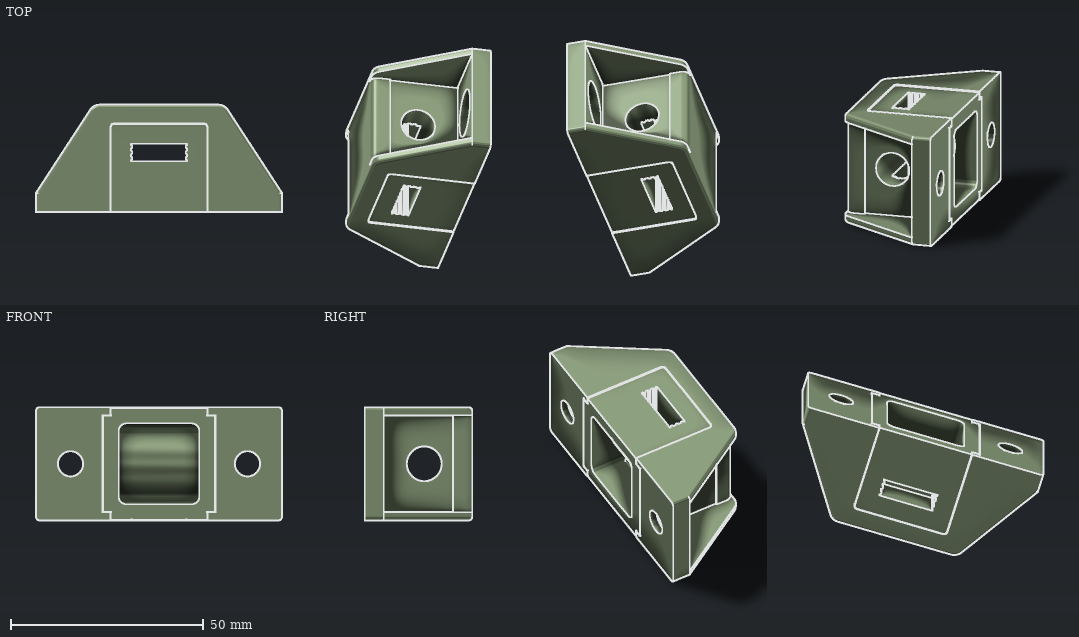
import cadquery as cq
import math

length = 64.0
depth = 28.0
height = 29.5
plate_inner_height = 25.3
mount_thickness = 5.0
wall_thickness = 5.0
rear_corner_x = 17.0
rear_corner_radius = 3.0
wall_corner_radius = 2.0
outer_edge_radius = 1.0
bore_width = 29.5
window_width = 25.3
window_corner_radius = 1.0
screw_hole_diameter = 6.5
screw_hole_spacing = 46.0
screw_head_diameter = 12.5

clearance = 0.15
rear_clearance = 0.05
outer_clearance = 0.25
insert_width = bore_width - 2 * outer_clearance
insert_height = height - 2 * outer_clearance
core_width = window_width - 2 * clearance
flange_height = plate_inner_height - 2 * clearance
insert_depth = depth - wall_thickness - rear_clearance
core_corner_radius = window_corner_radius - clearance

hole_center_y = 15.5
cross_hole_diameter = 9.0
slot_length = 14.5
slot_width = 4.5
tooth_count = 3
tooth_height = 0.35
tooth_tip = 0.4
tooth_flank = 0.3

pocket_size = 21.0
pocket_depth = 10.0
pocket_corner_radius = 2.0
pocket_floor_radius = 1.0
barrel_radius = 9.5
barrel_root_radius = 1.0


def centered_box(width, y_start, y_end, box_height):
    """Box centred on X and Z that runs from y_start to y_end."""
    middle_y = (y_start + y_end) / 2
    return cq.Workplane("XY").box(width, y_end - y_start, box_height).translate((0, middle_y, 0))


def make_screw_hole():
    """Solid to remove for one screw: a through hole along Y, countersunk from the rear of the ear."""
    hole_radius = screw_hole_diameter / 2
    head_radius = screw_head_diameter / 2
    countersink_depth = head_radius - hole_radius
    profile = [
        (0, 0),
        (hole_radius, 0),
        (hole_radius, mount_thickness - countersink_depth),
        (head_radius, mount_thickness),
        (0, mount_thickness),
    ]
    return cq.Workplane("XY").polyline(profile).close().revolve(360, (0, 0, 0), (0, 1, 0))


def make_housing():
    half_length = length / 2
    outline = [
        (-half_length, 0),
        (half_length, 0),
        (half_length, mount_thickness),
        (rear_corner_x, depth),
        (-rear_corner_x, depth),
        (-half_length, mount_thickness),
    ]
    body = cq.Workplane("XY").polyline(outline).close().extrude(height / 2, both=True)
    rear_corners = cq.selectors.BoxSelector(
        (-half_length, depth - 1, -height), (half_length, depth + 1, height)
    )
    body = body.edges("|Z").edges(rear_corners).fillet(rear_corner_radius)
    body = body.faces("<Z or >Z").edges("not <Y").fillet(outer_edge_radius)

    wall_front = depth - wall_thickness
    body = body.cut(centered_box(length, mount_thickness, depth, plate_inner_height))
    wall = centered_box(bore_width, wall_front, depth, plate_inner_height)
    body = body.union(wall.edges("|Z and >Y").fillet(wall_corner_radius))

    window = centered_box(window_width, 0, wall_front, height)
    body = body.cut(window.edges("|Z and >Y").fillet(window_corner_radius))
    body = body.cut(centered_box(bore_width, 0, mount_thickness, plate_inner_height))

    for side in (-1, 1):
        body = body.cut(make_screw_hole().translate((side * screw_hole_spacing / 2, 0, 0)))
    return body


def make_pocket():
    """Solid to remove for the front pocket: a YZ profile limited by a rounded square."""
    half = pocket_size / 2
    floor_r = pocket_floor_radius
    floor_mid = floor_r * (1 - math.sqrt(0.5))

    root_y = pocket_depth - barrel_root_radius
    center_distance = barrel_radius + barrel_root_radius
    root_angle = math.acos((hole_center_y - root_y) / center_distance)
    root_z = center_distance * math.sin(root_angle)
    barrel_y = hole_center_y - barrel_radius * math.cos(root_angle)
    barrel_z = barrel_radius * math.sin(root_angle)
    root_mid_y = root_y + barrel_root_radius * math.cos(root_angle / 2)
    root_mid_z = root_z - barrel_root_radius * math.sin(root_angle / 2)

    profile = (
        cq.Workplane("YZ")
        .moveTo(0, -half)
        .lineTo(pocket_depth - floor_r, -half)
        .threePointArc((pocket_depth - floor_mid, floor_mid - half), (pocket_depth, floor_r - half))
        .lineTo(pocket_depth, -root_z)
        .threePointArc((root_mid_y, -root_mid_z), (barrel_y, -barrel_z))
        .threePointArc((hole_center_y - barrel_radius, 0), (barrel_y, barrel_z))
        .threePointArc((root_mid_y, root_mid_z), (pocket_depth, root_z))
        .lineTo(pocket_depth, half - floor_r)
        .threePointArc((pocket_depth - floor_mid, half - floor_mid), (pocket_depth - floor_r, half))
        .lineTo(0, half)
        .close()
        .extrude(half, both=True)
    )
    rounded_square = centered_box(pocket_size, 0, pocket_depth, pocket_size)
    return profile.intersect(rounded_square.edges("|Y").fillet(pocket_corner_radius))


def make_strap_slot():
    """Solid to remove for the strap slot; teeth on both ends of the slot stay as material."""
    slot = centered_box(
        slot_length, hole_center_y - slot_width / 2, hole_center_y + slot_width / 2, height
    )
    pitch = slot_width / tooth_count
    half_tip = tooth_tip / 2
    half_root = half_tip + tooth_flank
    for side in (-1, 1):
        root_x = side * slot_length / 2
        tip_x = side * (slot_length / 2 - tooth_height)
        for index in range(tooth_count):
            y = hole_center_y + (index - (tooth_count - 1) / 2) * pitch
            tooth_outline = [
                (root_x, y - half_root),
                (tip_x, y - half_tip),
                (tip_x, y + half_tip),
                (root_x, y + half_root),
            ]
            tooth = cq.Workplane("XY").polyline(tooth_outline).close().extrude(height / 2, both=True)
            slot = slot.cut(tooth)
    return slot


def make_insert():
    core = centered_box(core_width, 0, insert_depth, insert_height)
    core = core.edges("|Z and >Y").fillet(core_corner_radius)
    body = core.union(centered_box(insert_width, 0, insert_depth, flange_height))
    cross_hole = (
        cq.Workplane("YZ")
        .center(hole_center_y, 0)
        .circle(cross_hole_diameter / 2)
        .extrude(insert_width / 2, both=True)
    )
    return body.cut(make_pocket()).cut(make_strap_slot()).cut(cross_hole)


housing = make_housing()
insert = make_insert()

result = cq.Compound.makeCompound([housing.val(), insert.val()])